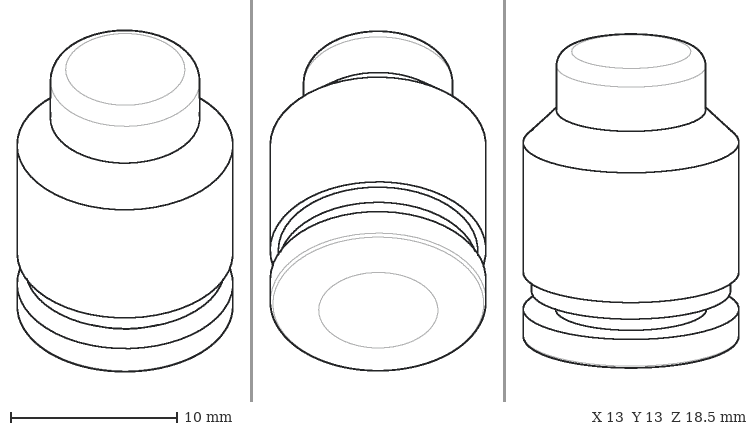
import cadquery as cq

total_height = 18.5
body_diameter = 13.0
plunger_diameter = 9.0
plunger_edge_radius = 0.9
collar_diameter = 12.0
groove_diameter = 9.1
base_flat_diameter = 7.18

base_cone_height = 0.52
flange_top = 2.33
groove_top = 3.46
body_bottom = 4.65
shoulder_top = 14.8

flange_edge_radius = 0.18

body_radius = body_diameter / 2
plunger_radius = plunger_diameter / 2
collar_radius = collar_diameter / 2
groove_radius = groove_diameter / 2

body_top = shoulder_top - (body_radius - plunger_radius)

half_section = [
    (0, 0),
    (base_flat_diameter / 2, 0),
    (body_radius, base_cone_height),
    (body_radius, flange_top),
    (groove_radius, flange_top),
    (groove_radius, groove_top),
    (collar_radius, groove_top),
    (collar_radius, body_bottom),
    (body_radius, body_bottom),
    (body_radius, body_top),
    (plunger_radius, shoulder_top),
    (plunger_radius, total_height),
    (0, total_height),
]

turned_body = (
    cq.Workplane("XZ")
    .polyline(half_section)
    .close()
    .revolve(360, (0, 0, 0), (0, 1, 0))
)

flange_rim = cq.selectors.RadiusNthSelector(-1)
rounded_flange = (
    turned_body.faces("%CONE")
    .faces("<Z")
    .edges(flange_rim)
    .fillet(flange_edge_radius)
)

result = rounded_flange.faces(">Z").edges().fillet(plunger_edge_radius)